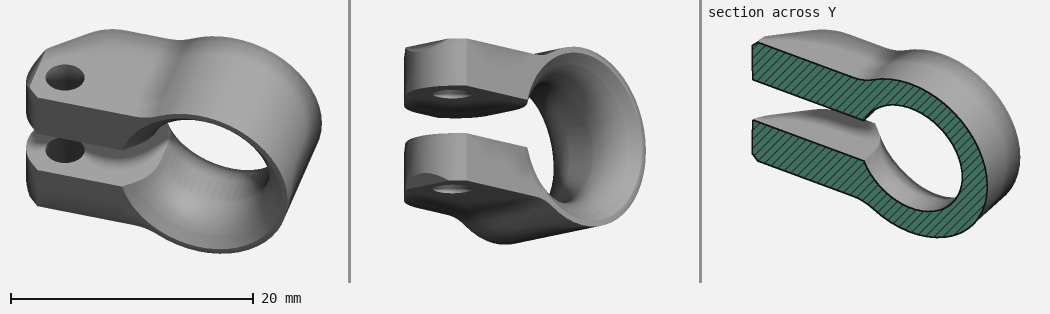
import cadquery as cq
import math

total_length = 23.32
width = 10.0
ring_diameter = 15.0
bore_diameter = 10.0
bore_chamfer = 2.0
round_radius = 4.0
arms_height = 12.0
slot_height = 4.0
nose_center_y = 3.5
end_chamfer = 0.85
bolt_diameter = 3.22
bolt_x = -12.5
bolt_y = 3.0

ring_radius = ring_diameter / 2
bore_radius = bore_diameter / 2
arm_top = arms_height / 2
tip_x = ring_radius - total_length
sin45 = math.sin(math.pi / 4)
sin22 = math.sin(math.pi / 8)
cos22 = math.cos(math.pi / 8)
tan22 = math.tan(math.pi / 8)


def clamp_profile():
    """Ring with both arms, blended by concave arcs, extruded along +Y."""
    blend_z = arm_top + round_radius
    blend_x = -math.sqrt((ring_radius + round_radius) ** 2 - blend_z ** 2)
    share = ring_radius / (ring_radius + round_radius)
    ring_x = blend_x * share
    ring_z = blend_z * share
    half_turn = math.atan2(-blend_x, blend_z) / 2
    mid_x = blend_x + round_radius * math.sin(half_turn)
    mid_z = blend_z - round_radius * math.cos(half_turn)
    return (
        cq.Workplane("XZ")
        .moveTo(tip_x, -arm_top)
        .lineTo(blend_x, -arm_top)
        .threePointArc((mid_x, -mid_z), (ring_x, -ring_z))
        .threePointArc((ring_radius, 0), (ring_x, ring_z))
        .threePointArc((mid_x, mid_z), (blend_x, arm_top))
        .lineTo(tip_x, arm_top)
        .close()
        .extrude(-width)
        .edges("|Y and <X")
        .chamfer(end_chamfer)
    )


def arm_outline():
    """Plan shape: round nose between 45 degree flanks, with a rounded far corner."""
    nose_x = tip_x + round_radius
    reach = round_radius * sin45
    flank_x = nose_x - reach
    near_y = nose_center_y - reach
    far_y = nose_center_y + reach
    corner_x = flank_x + width - far_y
    setback = round_radius * tan22
    round_x = corner_x + setback
    round_y = width - round_radius
    return (
        cq.Workplane("XY", origin=(0, 0, -ring_radius))
        .moveTo(ring_radius, 0)
        .lineTo(flank_x + near_y, 0)
        .lineTo(flank_x, near_y)
        .threePointArc((tip_x, nose_center_y), (flank_x, far_y))
        .lineTo(corner_x - setback * sin45, width - setback * sin45)
        .threePointArc(
            (round_x - round_radius * sin22, round_y + round_radius * cos22),
            (round_x, width),
        )
        .lineTo(ring_radius, width)
        .close()
        .extrude(ring_diameter)
    )


def bore():
    """Revolved bore, flared at both ends by a 45 degree chamfer with a rounded throat."""
    mouth_radius = bore_radius + bore_chamfer
    arc_rise = round_radius * (1 - sin45)
    flare_radius = bore_radius + arc_rise
    flare_y = bore_chamfer - arc_rise
    throat_y = flare_y + round_radius * sin45
    arc_radius = bore_radius + round_radius * (1 - cos22)
    arc_y = throat_y - round_radius * sin22
    return (
        cq.Workplane("XY")
        .lineTo(mouth_radius, 0)
        .lineTo(flare_radius, flare_y)
        .threePointArc((arc_radius, arc_y), (bore_radius, throat_y))
        .lineTo(bore_radius, width - throat_y)
        .threePointArc((arc_radius, width - arc_y), (flare_radius, width - flare_y))
        .lineTo(mouth_radius, width)
        .lineTo(0, width)
        .close()
        .revolve(360, (0, 0, 0), (0, 1, 0))
    )


def slot():
    """Gap between the arms, open from the tips into the bore."""
    gap = cq.Workplane("XY").box(-tip_x, width, slot_height, centered=(False, False, True))
    return gap.translate((tip_x, 0, 0))


def bolt_hole():
    """Vertical hole through both arms."""
    return (
        cq.Workplane("XY", origin=(bolt_x, bolt_y, -arm_top))
        .circle(bolt_diameter / 2)
        .extrude(arms_height)
    )


clamp = clamp_profile().intersect(arm_outline())
result = clamp.cut(bore()).cut(slot()).cut(bolt_hole())